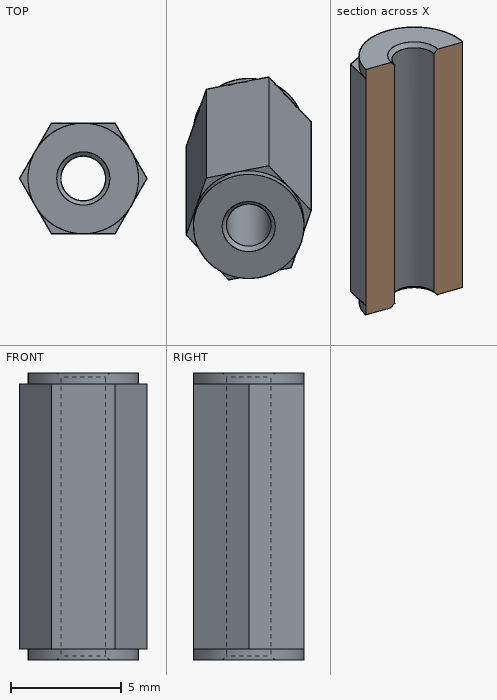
import cadquery as cq
import math

total_length = 13.0
across_flats = 5.0
collar_height = 0.5
bore_diameter = 2.02
bore_mouth_diameter = 2.4

across_corners = across_flats / math.cos(math.radians(30))
hex_length = total_length - 2 * collar_height
mouth_chamfer = (bore_mouth_diameter - bore_diameter) / 2

core = cq.Workplane("XY").circle(across_flats / 2).extrude(total_length)

hex_body = (
    cq.Workplane("XY")
    .workplane(offset=collar_height)
    .polygon(6, across_corners)
    .extrude(hex_length)
)

bored = (
    hex_body.union(core)
    .faces(">Z")
    .workplane(origin=(0, 0, total_length))
    .hole(bore_diameter)
)
bore_mouths = cq.selectors.RadiusNthSelector(0)
result = bored.faces("<Z or >Z").edges(bore_mouths).chamfer(mouth_chamfer)